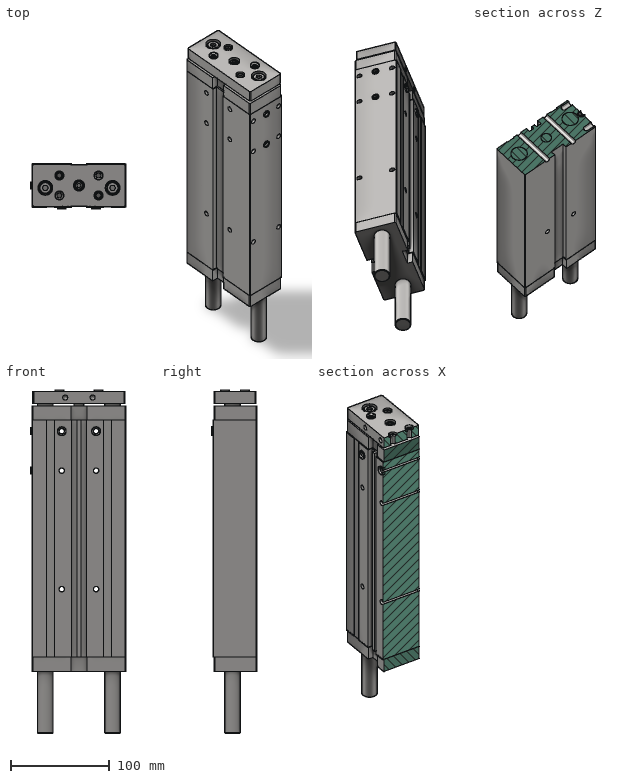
import cadquery as cq
import math


body_width = 95.0
body_depth = 44.5
tube_length = 240.0
cap_length = 14.5
tube_corner_chamfer = 0.7
cap_front_setback = 1.0
corner_chamfer = 1.0

plate_width = 93.5
plate_depth = 42.5
plate_thickness = 12.5
plate_gap = 2.0

guide_diameter = 16.0
guide_x = 34.0
guide_y = -2.5
guide_overhang = 62.5
guide_chamfer = 0.7
piston_rod_diameter = 10.0

tube_slot_width = 15.0
cap_slot_width = 16.5
tube_slot_depth = 5.0
cap_slot_depth = 6.5
ridge_width = 3.8
ridge_setback = 1.7

groove_inner_x = 24.7
groove_outer_x = 33.0
groove_depth = 0.7

mount_offset = 17.5
mount_diameter = 5.2
mount_depth = 10.5
first_mount_drop = 11.0
second_mount_pitch = 40.0
third_mount_pitch = 120.0
port_diameter = 5.0
port_depth = 4.0

sleeve_protrusion = 1.5
sleeve_seat_depth = 2.0
large_sleeve_diameter = 9.0
large_sleeve_bore = 5.2
large_sleeve_mouth = 8.5
small_sleeve_diameter = 7.0
small_sleeve_bore = 5.0
small_sleeve_mouth = 6.0

plate_hole_x = 19.8
plate_hole_y = 10.0
plate_hole_diameter = 5.0
plate_hole_mouth = 7.0
plate_face_hole_x = 14.0
plate_face_hole_depth = 7.0
screw_recess_depth = 5.2
screw_head_height = 4.0
screw_head_chamfer = 1.0
screw_socket_depth = 2.8
hexagon_sides = 6
guide_recess_diameter = 15.0
guide_head_diameter = 13.0
guide_socket_flats = 5.2
piston_recess_diameter = 11.0
piston_head_diameter = 9.0
piston_socket_flats = 3.8

drill_tip_angle = 118.0

tube_bottom = cap_length
tube_top = tube_bottom + tube_length
upper_cap_top = tube_top + cap_length
plate_bottom = upper_cap_top + plate_gap
plate_top = plate_bottom + plate_thickness
tube_front = -body_depth / 2
tube_back = body_depth / 2
tube_left = -body_width / 2
cap_depth = body_depth - cap_front_setback

first_mount_z = tube_top - first_mount_drop
second_mount_z = first_mount_z - second_mount_pitch
third_mount_z = second_mount_z - third_mount_pitch
mount_heights = [first_mount_z, second_mount_z, third_mount_z]

guide_places = [(-guide_x, guide_y), (guide_x, guide_y)]
plate_hole_places = [(sx * plate_hole_x, sy * plate_hole_y) for sx in (-1, 1) for sy in (-1, 1)]

to_back = cq.Vector(0, 1, 0)
to_right = cq.Vector(1, 0, 0)
down = cq.Vector(0, 0, -1)

front_sleeve_places = [cq.Vector(sx * mount_offset, tube_front, first_mount_z) for sx in (-1, 1)]
side_sleeve_places = [cq.Vector(tube_left, 0, z) for z in (first_mount_z, second_mount_z)]
plate_sleeve_places = [cq.Vector(s * plate_hole_x, s * plate_hole_y, plate_top) for s in (-1, 1)]


def box(x_size, y_size, z_size, x, y, z):
    """Box centred on x and y, standing on height z."""
    return cq.Workplane("XY").box(x_size, y_size, z_size, centered=(True, True, False)).translate((x, y, z))


def bore(diameter, depth, start, direction):
    return cq.Workplane(cq.Solid.makeCylinder(diameter / 2, depth, start, direction))


def drilled_hole(diameter, depth, start, direction):
    """Blind hole with the cone that a twist drill leaves."""
    tip_length = diameter / 2 / math.tan(math.radians(drill_tip_angle / 2))
    tip = cq.Solid.makeCone(diameter / 2, 0, tip_length, start + direction * depth, direction)
    return bore(diameter, depth, start, direction).union(cq.Workplane(tip))


def countersink(mouth, hole, start, direction):
    """90 degree cone from the mouth's diameter down to the hole's."""
    depth = (mouth - hole) / 2
    return cq.Workplane(cq.Solid.makeCone(mouth / 2, hole / 2, depth, start, direction))


def guide_bores(bottom, length):
    return cq.Workplane("XY", origin=(0, 0, bottom)).pushPoints(guide_places).circle(
        guide_diameter / 2).extrude(length)


def cut_slots(body, width, depth, bottom, length):
    """Slots in front and back along the whole length, depth measured from the tube's faces."""
    for face in (tube_front, tube_back):
        body = body.cut(box(width, 2 * depth, length, 0, face, bottom))
    return body


def make_tube():
    tube = box(body_width, body_depth, tube_length, 0, 0, tube_bottom)
    tube = tube.edges("|Z").chamfer(tube_corner_chamfer)
    tube = cut_slots(tube, tube_slot_width, tube_slot_depth, tube_bottom, tube_length)

    ridge_height = tube_slot_depth - ridge_setback
    ridge_y = tube_front + ridge_setback + ridge_height / 2
    tube = tube.union(box(ridge_width, ridge_height, tube_length, 0, ridge_y, tube_bottom))

    groove_width = groove_outer_x - groove_inner_x
    groove_x = (groove_outer_x + groove_inner_x) / 2
    for side in (-1, 1):
        tube = tube.cut(box(groove_width, groove_depth, tube_length,
                            side * groove_x, tube_front + groove_depth / 2, tube_bottom))

    tube = tube.cut(guide_bores(tube_bottom, tube_length))
    tube = tube.cut(bore(piston_rod_diameter, tube_length, cq.Vector(0, 0, tube_top), down))

    for z in mount_heights:
        for side in (-1, 1):
            front_start = cq.Vector(side * mount_offset, tube_front, z)
            side_start = cq.Vector(tube_left, side * mount_offset, z)
            tube = tube.cut(bore(mount_diameter, body_depth, front_start, to_back))
            tube = tube.cut(drilled_hole(mount_diameter, mount_depth, side_start, to_right))

    for place in front_sleeve_places:
        tube = tube.cut(bore(large_sleeve_diameter, sleeve_seat_depth, place, to_back))
    for place in side_sleeve_places:
        tube = tube.cut(bore(small_sleeve_diameter, sleeve_seat_depth, place, to_right))
        tube = tube.cut(bore(port_diameter, port_depth, place, to_right))
    return tube


def make_cap(bottom):
    cap = box(body_width, cap_depth, cap_length, 0, cap_front_setback / 2, bottom)
    cap = cap.edges("|Z").chamfer(corner_chamfer)
    cap = cut_slots(cap, cap_slot_width, cap_slot_depth, bottom, cap_length)
    return cap.cut(guide_bores(bottom, cap_length))


def make_upper_cap():
    cap = make_cap(tube_top)
    return cap.cut(bore(piston_rod_diameter, cap_length, cq.Vector(0, 0, upper_cap_top), down))


def add_socket_screw(plate, place, recess_diameter, head_diameter, socket_flats):
    """Recess in the plate's top with a hexagon socket screw head standing on its floor."""
    x, y = place
    floor = plate_top - screw_recess_depth
    head_top = floor + screw_head_height
    plate = plate.cut(bore(recess_diameter, screw_recess_depth, cq.Vector(x, y, plate_top), down))
    head = cq.Workplane("XY", origin=(x, y, floor)).circle(head_diameter / 2).extrude(screw_head_height)
    head = head.faces(">Z").edges().chamfer(screw_head_chamfer)
    socket_corners = socket_flats / math.cos(math.pi / hexagon_sides)
    socket = cq.Workplane("XY", origin=(x, y, head_top)).polygon(hexagon_sides, socket_corners)
    socket = socket.extrude(-screw_socket_depth)
    return plate.union(head.cut(socket))


def make_plate():
    plate = box(plate_width, plate_depth, plate_thickness, 0, 0, plate_bottom)
    plate = plate.edges("|Z").chamfer(corner_chamfer)

    for x, y in plate_hole_places:
        start = cq.Vector(x, y, plate_top)
        plate = plate.cut(bore(large_sleeve_diameter, sleeve_seat_depth, start, down))
        plate = plate.cut(bore(plate_hole_diameter, plate_thickness, start, down))
        seat_floor = start + down * sleeve_seat_depth
        plate = plate.cut(countersink(plate_hole_mouth, plate_hole_diameter, seat_floor, down))

    for side in (-1, 1):
        start = cq.Vector(side * plate_face_hole_x, -plate_depth / 2, plate_bottom + plate_thickness / 2)
        plate = plate.cut(drilled_hole(mount_diameter, plate_face_hole_depth, start, to_back))

    for place in guide_places:
        plate = add_socket_screw(plate, place, guide_recess_diameter, guide_head_diameter, guide_socket_flats)
    return add_socket_screw(plate, (0, 0), piston_recess_diameter, piston_head_diameter, piston_socket_flats)


def make_moving_unit():
    guide_length = plate_bottom + guide_overhang
    guides = (
        cq.Workplane("XY", origin=(0, 0, -guide_overhang))
        .pushPoints(guide_places)
        .circle(guide_diameter / 2)
        .extrude(guide_length)
        .faces("<Z").edges().chamfer(guide_chamfer)
    )
    piston_rod = bore(piston_rod_diameter, plate_bottom - tube_bottom, cq.Vector(0, 0, plate_bottom), down)
    return make_plate().union(guides).union(piston_rod)


def make_sleeve(diameter, hole, mouth, face, inward):
    """Sleeve seated in a face, standing proud of it, with a countersunk mouth."""
    length = sleeve_seat_depth + sleeve_protrusion
    start = face - inward * sleeve_protrusion
    sleeve = bore(diameter, length, start, inward).cut(bore(hole, length, start, inward))
    return sleeve.cut(countersink(mouth, hole, start, inward))


tube = make_tube()
lower_cap = make_cap(0)
upper_cap = make_upper_cap()
moving_unit = make_moving_unit()

sleeves = []
for places, inward in ((front_sleeve_places, to_back), (plate_sleeve_places, down)):
    for place in places:
        sleeves.append(make_sleeve(large_sleeve_diameter, large_sleeve_bore, large_sleeve_mouth, place, inward))
for place in side_sleeve_places:
    sleeves.append(make_sleeve(small_sleeve_diameter, small_sleeve_bore, small_sleeve_mouth, place, to_right))

result = cq.Compound.makeCompound([
    tube.val(),
    lower_cap.val(),
    upper_cap.val(),
    moving_unit.val(),
    *[sleeve.val() for sleeve in sleeves],
])